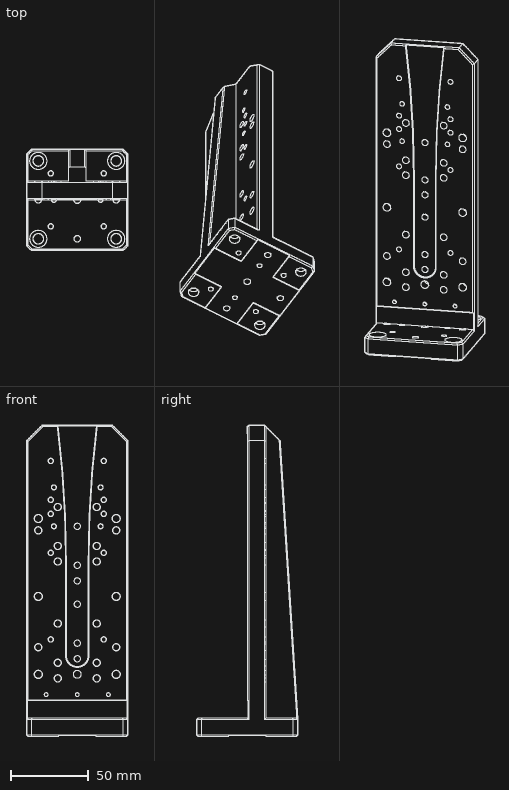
import cadquery as cq
import math

WIDTH = 65.0
DEPTH = 65.0
HEIGHT = 200.0
EDGE_CHAMFER = 1.0
OVERLAP = 2.0

BASE_THICKNESS = 12.0
BASE_CORNER = 3.0
PAD_GAP = 24.0
PAD_HEIGHT = 0.5

FRONT_Y = 0.0
PLATE_THICKNESS = 12.0
BACK_Y = FRONT_Y + PLATE_THICKNESS
TOP_CORNER = 10.0
RELIEF_TOP = 23.5
RELIEF_DEPTH = 0.5

RIB_WIDTH = 11.0
RIB_TOP_Y = 21.2
RIB_EDGE = 0.7

GROOVE_DEPTH = 0.5
WALL_SLOPE = 45.0
GROOVE_HALF = 7.0
GROOVE_HALF_TOP = 12.5
GROOVE_END_Z = 52.0
FLARE_START_Z = 113.0

BOLT_HOLE = 6.5
BOLT_HEAD = 11.0
BOLT_HEAD_DEPTH = 6.8
DOWEL_HOLE = 5.0
TAP_LARGE = 4.0
CLEAR_HOLE = 4.5
TAP_SMALL = 3.2
TAP_FINE = 3.0
PIN_HOLE = 2.5
DRILL_POINT_ANGLE = 118.0
BLIND_DEPTH = 10.0
PIN_DEPTH = 5.0

BOLT_X = 25.0
TAP_X = 17.0
FINE_X = 15.0
CLEAR_X = BOLT_X / 2
PIN_X = 20.0

PLATE_HOLES = [
    (TAP_SMALL, TAP_X, [177.0, 152.0, 143.0, 118.0, 62.5]),
    (TAP_FINE, FINE_X, [160.0, 135.0]),
    (CLEAR_HOLE, CLEAR_X, [147.5, 122.5, 112.5, 72.5, 47.5, 37.5]),
    (CLEAR_HOLE, BOLT_X, [132.5, 57.5]),
    (DOWEL_HOLE, BOLT_X, [140.0, 90.0, 40.0]),
]
CENTRE_TAP_HEIGHTS = [135.0, 110.0, 100.0, 85.0, 60.0, 50.0]
CENTRE_DOWEL_HEIGHT = 40.0
PIN_HEIGHT = 27.0

BASE_LINE_HOLES = [(TAP_LARGE, BOLT_X), (TAP_FINE, FINE_X), (CLEAR_HOLE, 0.0)]


def make_base():
    base = cq.Workplane("XY").box(WIDTH, DEPTH, BASE_THICKNESS, centered=(True, True, False))
    base = base.edges("|Z").chamfer(BASE_CORNER)
    return base.faces("<Z or >Z").edges().chamfer(EDGE_CHAMFER)


def make_upright():
    half = WIDTH / 2
    bottom = BASE_THICKNESS - EDGE_CHAMFER
    outline = [
        (-half, bottom),
        (half, bottom),
        (half, HEIGHT - TOP_CORNER),
        (half - TOP_CORNER, HEIGHT),
        (-half + TOP_CORNER, HEIGHT),
        (-half, HEIGHT - TOP_CORNER),
    ]
    plate = cq.Workplane("XZ", origin=(0, BACK_Y, 0)).polyline(outline).close().extrude(PLATE_THICKNESS)
    rim = plate.faces("<Y or >Y").edges("not <Z")
    return rim.chamfer(EDGE_CHAMFER)


def make_rib():
    bottom = BASE_THICKNESS - EDGE_CHAMFER
    shoulder_y = BACK_Y - EDGE_CHAMFER
    profile = [
        (shoulder_y, bottom),
        (DEPTH / 2, bottom),
        (DEPTH / 2, BASE_THICKNESS),
        (RIB_TOP_Y, HEIGHT - (RIB_TOP_Y - shoulder_y)),
        (shoulder_y, HEIGHT),
    ]
    rib = cq.Workplane("YZ").polyline(profile).close().extrude(RIB_WIDTH / 2, both=True)
    sloped_back = cq.selectors.NearestToPointSelector((0, (RIB_TOP_Y + DEPTH / 2) / 2, HEIGHT / 2))
    return rib.faces(sloped_back).edges("not |X").chamfer(RIB_EDGE)


def make_feet_channels():
    along_x = cq.Workplane("XY").box(2 * WIDTH, PAD_GAP, 2 * PAD_HEIGHT)
    along_y = cq.Workplane("XY").box(PAD_GAP, 2 * DEPTH, 2 * PAD_HEIGHT)
    return along_x.union(along_y)


def make_foot_relief():
    floor_y = FRONT_Y + RELIEF_DEPTH
    profile = [
        (FRONT_Y - OVERLAP, BASE_THICKNESS),
        (floor_y, BASE_THICKNESS),
        (floor_y, RELIEF_TOP - RELIEF_DEPTH),
        (FRONT_Y - OVERLAP, RELIEF_TOP + OVERLAP),
    ]
    return cq.Workplane("YZ").polyline(profile).close().extrude(WIDTH, both=True)


def make_groove():
    rise = HEIGHT - FLARE_START_Z
    widening = GROOVE_HALF_TOP - GROOVE_HALF
    radius = (rise**2 + widening**2) / (2 * widening)
    middle = math.asin(rise / radius) / 2
    mid_x = GROOVE_HALF + radius * (1 - math.cos(middle))
    mid_z = FLARE_START_Z + radius * math.sin(middle)
    outline = (
        cq.Workplane("XZ", origin=(0, FRONT_Y + GROOVE_DEPTH, 0))
        .moveTo(-GROOVE_HALF, GROOVE_END_Z)
        .threePointArc((0, GROOVE_END_Z - GROOVE_HALF), (GROOVE_HALF, GROOVE_END_Z))
        .lineTo(GROOVE_HALF, FLARE_START_Z)
        .threePointArc((mid_x, mid_z), (GROOVE_HALF_TOP, HEIGHT))
        .lineTo(-GROOVE_HALF_TOP, HEIGHT)
        .threePointArc((-mid_x, mid_z), (-GROOVE_HALF, FLARE_START_Z))
        .close()
    )
    return outline.extrude(GROOVE_DEPTH + OVERLAP, taper=-WALL_SLOPE)


def front_hole(diameter, x, z):
    hole = cq.Solid.makeCylinder(
        diameter / 2, PLATE_THICKNESS + 2 * OVERLAP, cq.Vector(x, FRONT_Y - OVERLAP, z), cq.Vector(0, 1, 0)
    )
    return cq.Workplane(hole)


def blind_front_hole(diameter, x, z, depth):
    radius = diameter / 2
    point = radius / math.tan(math.radians(DRILL_POINT_ANGLE / 2))
    profile = [
        (0, FRONT_Y - OVERLAP),
        (radius, FRONT_Y - OVERLAP),
        (radius, FRONT_Y + depth),
        (0, FRONT_Y + depth + point),
    ]
    hole = cq.Workplane("XY").polyline(profile).close().revolve(360, (0, 0), (0, 1))
    return hole.translate((x, 0, z))


def base_hole(diameter, x, y):
    hole = cq.Workplane("XY").circle(diameter / 2).extrude(BASE_THICKNESS)
    return hole.translate((x, y, 0))


def bolt_hole(x, y):
    head = cq.Workplane("XY", origin=(x, y, BASE_THICKNESS - BOLT_HEAD_DEPTH))
    head = head.circle(BOLT_HEAD / 2).extrude(BOLT_HEAD_DEPTH)
    return base_hole(BOLT_HOLE, x, y).union(head)


cutters = [make_feet_channels(), make_foot_relief(), make_groove()]

for side in (-1, 1):
    for diameter, x, heights in PLATE_HOLES:
        cutters += [front_hole(diameter, side * x, z) for z in heights]

cutters += [blind_front_hole(TAP_LARGE, 0, z, BLIND_DEPTH) for z in CENTRE_TAP_HEIGHTS]
cutters.append(blind_front_hole(DOWEL_HOLE, 0, CENTRE_DOWEL_HEIGHT, BLIND_DEPTH))
cutters += [blind_front_hole(PIN_HOLE, x, PIN_HEIGHT, PIN_DEPTH) for x in (-PIN_X, 0, PIN_X)]

for side_x in (-1, 1):
    for side_y in (-1, 1):
        cutters.append(bolt_hole(side_x * BOLT_X, side_y * BOLT_X))
        cutters.append(base_hole(TAP_SMALL, side_x * TAP_X, side_y * TAP_X))

cutters.append(base_hole(TAP_LARGE, 0, -BOLT_X))
for diameter, x in BASE_LINE_HOLES:
    for line_x in sorted({-x, x}):
        cutters.append(base_hole(diameter, line_x, FRONT_Y))

result = make_base().union(make_upright()).union(make_rib())
for cutter in cutters:
    result = result.cut(cutter)